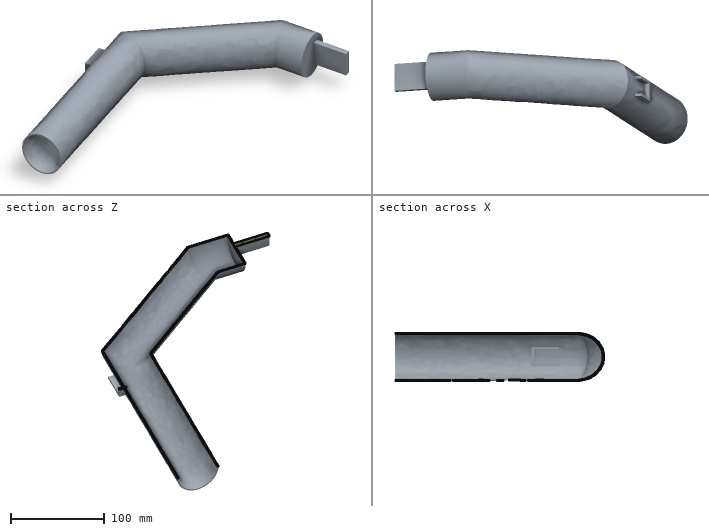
import cadquery as cq

tube_width = 48.0
tube_height = 52.0
wall = 1.5
total_length = 314.0
first_bend_y = 195.3
second_bend_x = 130.0
collar_end_x = 170.0
collar_y = total_length - tube_width / 2
end_cap = wall

tongue_length = 40.0
tongue_thickness = 6.0
tongue_height = 29.5
tongue_offset = 6.5

rim_outer_x = -29.2
rim_depth = 8.8
rim_start_y = 146.5
rim_length = 29.8
rim_height = 22.0
rim_wall = 2.8


def swept_ellipse(width, height, end_x):
    """Solid ellipse swept along the mitred tube axis, ending at end_x."""
    axis = cq.Workplane("XY").polyline([
        (0, 0),
        (0, first_bend_y),
        (second_bend_x, collar_y),
        (end_x, collar_y),
    ])
    profile = cq.Workplane("XZ").ellipse(width / 2, height / 2)
    return profile.sweep(axis, transition="right")


def make_tube():
    outside = swept_ellipse(tube_width, tube_height, collar_end_x)
    bore = swept_ellipse(tube_width - 2 * wall, tube_height - 2 * wall, collar_end_x - end_cap)
    return outside.cut(bore)


def make_tongue():
    return (
        cq.Workplane("XY")
        .box(tongue_length + end_cap, tongue_thickness, tongue_height, centered=(False, True, True))
        .translate((collar_end_x - end_cap, collar_y + tongue_offset, 0))
    )


def make_rim():
    block = cq.Workplane("XY").box(rim_depth, rim_length, rim_height, centered=(False, False, True))
    opening = (
        cq.Workplane("XY")
        .box(rim_depth, rim_length - rim_wall, rim_height - 2 * rim_wall, centered=(False, False, True))
        .translate((0, rim_wall, 0))
    )
    return block.cut(opening).translate((rim_outer_x, rim_start_y, 0))


result = make_tube().union(make_tongue()).union(make_rim())